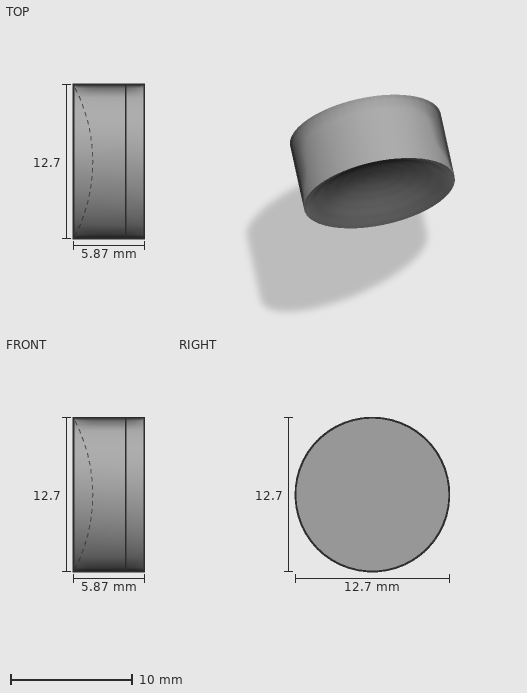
import cadquery as cq
import math

diameter = 12.7
total_thickness = 5.87
front_edge_thickness = 4.3
concave_depth = 1.59

radius = diameter / 2
concave_radius = (radius**2 + concave_depth**2) / (2 * concave_depth)

front_face_x = -total_thickness / 2
rear_face_x = total_thickness / 2
joint_x = front_face_x + front_edge_thickness


def revolve_about_x(half_profile):
    """Full turn of a closed XZ half profile about the X axis."""
    return half_profile.revolve(360, (0, 0, 0), (1, 0, 0))


def make_front_element():
    """Thick element with a spherical hollow across its whole -X face."""
    hollow_bottom_x = front_face_x + concave_depth
    sphere_center_x = hollow_bottom_x - concave_radius
    arc_mid_z = radius / 2
    arc_mid_x = sphere_center_x + math.sqrt(concave_radius**2 - arc_mid_z**2)
    half_profile = (
        cq.Workplane("XZ")
        .moveTo(hollow_bottom_x, 0)
        .threePointArc((arc_mid_x, arc_mid_z), (front_face_x, radius))
        .lineTo(joint_x, radius)
        .lineTo(joint_x, 0)
        .close()
    )
    return revolve_about_x(half_profile)


def make_rear_element():
    """Thin flat disc seated against the front element."""
    half_profile = (
        cq.Workplane("XZ")
        .moveTo(joint_x, 0)
        .lineTo(joint_x, radius)
        .lineTo(rear_face_x, radius)
        .lineTo(rear_face_x, 0)
        .close()
    )
    return revolve_about_x(half_profile)


front_element = make_front_element()
rear_element = make_rear_element()

result = cq.Compound.makeCompound([front_element.val(), rear_element.val()])